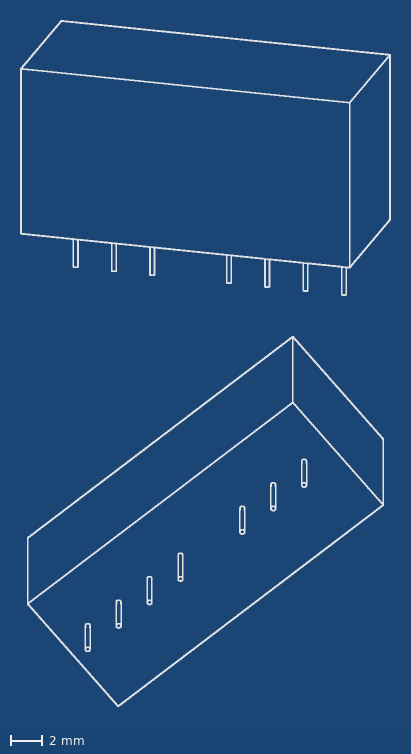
import cadquery as cq

housing_length = 21.8
housing_width = 9.1
housing_height = 11.2

pin_diameter = 0.3
pin_length = 4.0
pin_row_y = 0.95
pin_row_span = 17.79
pin_places = 8
empty_place = 3
pin_pitch = pin_row_span / (pin_places - 1)


def make_housing():
    return cq.Workplane("XY").box(
        housing_length, housing_width, housing_height, centered=(True, True, False)
    )


def make_pin(x):
    """A round pin hanging from the underside of the housing."""
    return cq.Workplane("XY").center(x, pin_row_y).circle(pin_diameter / 2).extrude(-pin_length)


housing = make_housing()

pins = []
for place in range(pin_places):
    if place != empty_place:
        pin_x = place * pin_pitch - pin_row_span / 2
        pins.append(make_pin(pin_x).val())

result = cq.Compound.makeCompound([housing.val(), *pins])